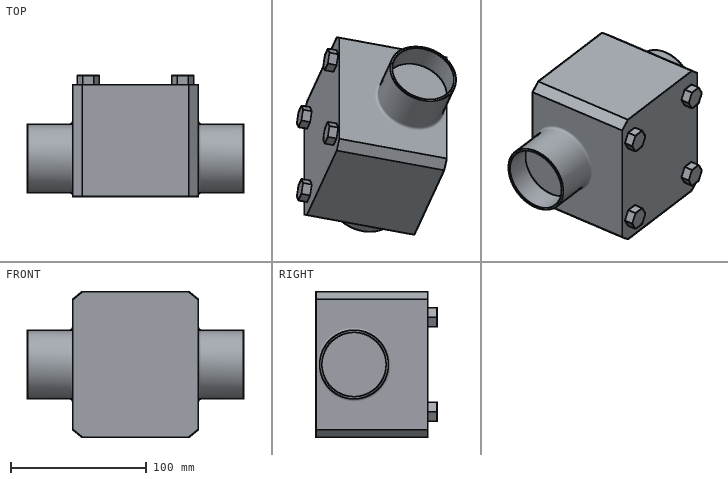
import cadquery as cq

length = 160.2
depth = 89.7
height = 108.0

housing_width = 93.0
corner_x = 7.0
corner_z = 5.8

pipe_diameter = 51.0
bore_diameter = 47.5
bore_depth = 19.0
root_fillet = 2.0
pipe_center_y = 28.2

head_height = 6.7
head_across_corners = 16.5
head_edge_radius = 7.8
head_edge_rise = 0.5
bolt_spacing = 69.8

housing_depth = depth - head_height
pipe_length = (length - housing_width) / 2


def make_housing():
    """Block with its four Y-direction corners cut off, front face at Y = 0."""
    half_x = housing_width / 2
    half_z = height / 2
    flat_x = half_x - corner_x
    flat_z = half_z - corner_z
    outline = [
        (-flat_x, -half_z),
        (flat_x, -half_z),
        (half_x, -flat_z),
        (half_x, flat_z),
        (flat_x, half_z),
        (-flat_x, half_z),
        (-half_x, flat_z),
        (-half_x, -flat_z),
    ]
    return cq.Workplane("XZ").polyline(outline).close().extrude(-housing_depth)


def make_pipe(side):
    """Stub with a blind bore and a concave root flare; side is -1 or 1 along X."""
    root_x = housing_width / 2
    end_x = length / 2
    floor_x = end_x - bore_depth
    pipe_radius = pipe_diameter / 2
    bore_radius = bore_diameter / 2
    diagonal = root_fillet * (1 - 0.5**0.5)
    profile = (
        cq.Workplane("XY")
        .moveTo(0, 0)
        .lineTo(0, pipe_radius + root_fillet)
        .lineTo(side * root_x, pipe_radius + root_fillet)
        .threePointArc(
            (side * (root_x + diagonal), pipe_radius + diagonal),
            (side * (root_x + root_fillet), pipe_radius),
        )
        .lineTo(side * end_x, pipe_radius)
        .lineTo(side * end_x, bore_radius)
        .lineTo(side * floor_x, bore_radius)
        .lineTo(side * floor_x, 0)
        .close()
    )
    return profile.revolve(360, (0, 0, 0), (1, 0, 0)).translate((0, pipe_center_y, 0))


def make_bolt_head():
    """Hexagonal prism along Y with its outer corners turned off conically."""
    corner_radius = head_across_corners / 2
    hexagon = cq.Workplane("XZ").polygon(6, head_across_corners).extrude(-head_height)
    turned = (
        cq.Workplane("XY")
        .polyline([
            (0, 0),
            (corner_radius, 0),
            (corner_radius, head_height - head_edge_rise),
            (head_edge_radius, head_height),
            (0, head_height),
        ])
        .close()
        .revolve(360, (0, 0, 0), (0, 1, 0))
    )
    return hexagon.intersect(turned)


result = make_housing()

for side in (-1, 1):
    result = result.union(make_pipe(side))

bolt_head = make_bolt_head()
for x in (-bolt_spacing / 2, bolt_spacing / 2):
    for z in (-bolt_spacing / 2, bolt_spacing / 2):
        result = result.union(bolt_head.translate((x, housing_depth, z)))